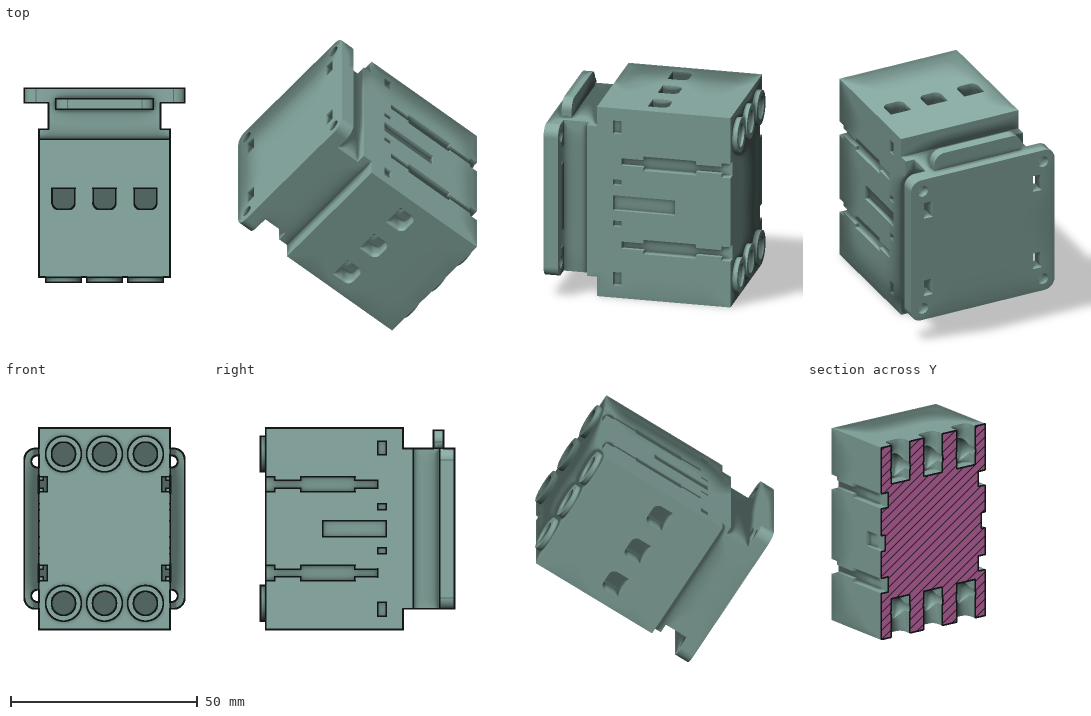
import cadquery as cq


HEIGHT = 54.0
WIDTH = 35.1
BODY_DEPTH = 36.85
STEP_DEPTH = 2.75
NECK_DEPTH = 7.0
NECK_WIDTH = 30.0

FLANGE_SIZE = 43.0
FLANGE_THICKNESS = 4.0
FLANGE_RADIUS = 3.0
MOUNT_HOLE_DIAMETER = 3.2
MOUNT_HOLE_OFFSET = 18.0
FLANGE_SLOT_WIDTH = 2.65
FLANGE_SLOT_HEIGHT = 4.8

TAB_WIDTH = 26.05
TAB_THICKNESS = 2.75
TAB_TOP = 26.35
TAB_SETBACK = 2.9

TERMINAL_PITCH = 10.95
TERMINAL_Z = 20.0
COLLAR_DIAMETER = 9.55
COLLAR_LENGTH = 1.4
BORE_DIAMETER = 6.4
WINDOW_WIDTH = 6.05
WINDOW_FRONT = 18.1
WINDOW_LENGTH = 5.6
WINDOW_RADIUS = 1.8
WINDOW_DEPTH = 10.8

SLOT_Z = 11.9
SLOT_END = 30.0
SLOT_DEPTH = 2.25
SLOT_WIDTH = 4.1
LIP_THICKNESS = 1.15
LIP_GAP = 2.05
MOUTH_LENGTH = 2.45
OPENING_START = 9.45
OPENING_END = 23.9

POCKET_DEPTH = 1.3
POCKET_BACK = 32.35
POCKET_LENGTH = 2.3
OUTER_POCKET_Z = 21.6
OUTER_POCKET_HEIGHT = 3.7
INNER_POCKET_Z = 5.9
INNER_POCKET_HEIGHT = 1.7
CENTRE_POCKET_LENGTH = 17.0
CENTRE_POCKET_HEIGHT = 4.3

STEP_BACK = BODY_DEPTH + STEP_DEPTH
FLANGE_FRONT = STEP_BACK + NECK_DEPTH
FLANGE_BACK = FLANGE_FRONT + FLANGE_THICKNESS
WINDOW_BACK = WINDOW_FRONT + WINDOW_LENGTH
SIDES = (-1, 1)
TERMINAL_POINTS = [(pole * TERMINAL_PITCH, end * TERMINAL_Z) for pole in (-1, 0, 1) for end in SIDES]


def block(width, height, y_start, y_end, x=0, z=0):
    """Box centred on (x, z) that spans y_start to y_end."""
    box = cq.Workplane("XY").box(width, y_end - y_start, height, centered=(True, False, True))
    return box.translate((x, y_start, z))


def cylinders(points, diameter, y_start, y_end):
    """Cylinders along Y, centred on (x, z) points."""
    plane = cq.Workplane("XZ", origin=(0, y_start, 0))
    return plane.pushPoints(points).circle(diameter / 2).extrude(y_start - y_end)


def make_housing():
    body = block(WIDTH, HEIGHT, 0, BODY_DEPTH)
    step = block(WIDTH, FLANGE_SIZE, BODY_DEPTH, STEP_BACK)
    neck = block(NECK_WIDTH, FLANGE_SIZE, STEP_BACK, FLANGE_FRONT)
    return body.union(step).union(neck)


def make_flange():
    flange = block(FLANGE_SIZE, FLANGE_SIZE, FLANGE_FRONT, FLANGE_BACK)
    flange = flange.edges("|Y").fillet(FLANGE_RADIUS)
    holes = [(i * MOUNT_HOLE_OFFSET, k * MOUNT_HOLE_OFFSET) for i in SIDES for k in SIDES]
    flange = flange.cut(cylinders(holes, MOUNT_HOLE_DIAMETER, FLANGE_FRONT, FLANGE_BACK))
    slot_x = (NECK_WIDTH + FLANGE_SLOT_WIDTH) / 2
    for i in SIDES:
        for k in SIDES:
            flange = flange.cut(block(FLANGE_SLOT_WIDTH, FLANGE_SLOT_HEIGHT, FLANGE_FRONT, FLANGE_BACK,
                                      i * slot_x, k * SLOT_Z))
    return flange


def make_tab():
    y_end = FLANGE_BACK - TAB_SETBACK
    tab = block(TAB_WIDTH, TAB_TOP, y_end - TAB_THICKNESS, y_end, z=TAB_TOP / 2)
    return tab.edges("|Y and >Z").fillet(FLANGE_RADIUS)


def make_window(x, end):
    """Screw window from the top (end = 1) or bottom (end = -1) face, flat-bottomed just past the bore."""
    z = end * (HEIGHT - WINDOW_DEPTH) / 2
    window = block(WINDOW_WIDTH, WINDOW_DEPTH, WINDOW_FRONT, WINDOW_BACK, x, z)
    return window.edges("|Z and <Y").fillet(WINDOW_RADIUS)


def side_pocket(side, depth, height, y_start, y_end, z, inset=0):
    """Rectangular cut of a side face, starting inset below it and ending at depth."""
    x = side * (WIDTH - inset - depth) / 2
    return block(depth - inset, height, y_start, y_end, x, z)


def cut_t_slot(part, side, z):
    part = part.cut(side_pocket(side, SLOT_DEPTH, LIP_GAP, 0, SLOT_END, z))
    part = part.cut(side_pocket(side, SLOT_DEPTH, SLOT_WIDTH, 0, SLOT_END, z, inset=LIP_THICKNESS))
    for y_start, y_end in ((0, MOUTH_LENGTH), (OPENING_START, OPENING_END)):
        part = part.cut(side_pocket(side, SLOT_DEPTH, SLOT_WIDTH, y_start, y_end, z))
    return part


def cut_side_pockets(part, side):
    pockets = [(0, CENTRE_POCKET_HEIGHT, CENTRE_POCKET_LENGTH)]
    for end in SIDES:
        pockets.append((end * OUTER_POCKET_Z, OUTER_POCKET_HEIGHT, POCKET_LENGTH))
        pockets.append((end * INNER_POCKET_Z, INNER_POCKET_HEIGHT, POCKET_LENGTH))
    for z, height, length in pockets:
        part = part.cut(side_pocket(side, POCKET_DEPTH, height, POCKET_BACK - length, POCKET_BACK, z))
    return part


part = make_housing().union(make_flange()).union(make_tab())

part = part.union(cylinders(TERMINAL_POINTS, COLLAR_DIAMETER, -COLLAR_LENGTH, 0))
part = part.cut(cylinders(TERMINAL_POINTS, BORE_DIAMETER, -COLLAR_LENGTH, WINDOW_BACK))
for terminal_x, terminal_z in TERMINAL_POINTS:
    part = part.cut(make_window(terminal_x, 1 if terminal_z > 0 else -1))

for side in SIDES:
    for end in SIDES:
        part = cut_t_slot(part, side, end * SLOT_Z)
    part = cut_side_pockets(part, side)

result = part